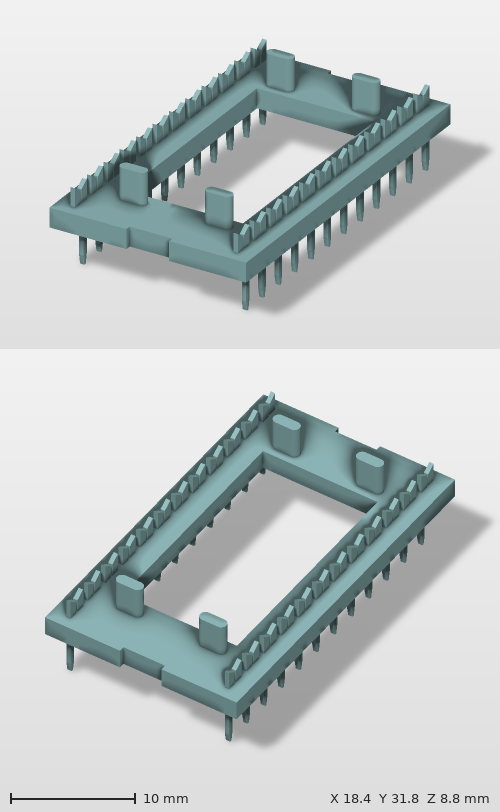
import cadquery as cq

plate_width = 18.4
plate_length = 31.8
plate_thickness = 1.8
window_width = 11.0
window_length = 20.48
end_notch_width = 4.0
end_notch_depth = 0.5

peg_length = 2.5
peg_width = 1.02
peg_height = 3.0
peg_offset_x = 4.0
peg_offset_y = 11.42

contacts_per_row = 12
contact_pitch = 2.55
row_spacing = 15.23
contact_thickness = 0.4
clip_width = 1.8
clip_height = 1.78
clip_slot_width = 0.2
clip_mouth_height = 1.25
pin_width = 0.5
pin_length = 4.0
pin_tip_width = 0.2
pin_tip_length = 0.9


def make_plate():
    """Plate with a central window and a shallow notch in each end."""
    plate = cq.Workplane("XY").box(
        plate_width, plate_length, plate_thickness, centered=(True, True, False)
    )
    plate = plate.translate((0, 0, -plate_thickness))
    window = cq.Workplane("XY").rect(window_width, window_length).extrude(-plate_thickness)
    notches = (
        cq.Workplane("XY")
        .pushPoints([(0, plate_length / 2), (0, -plate_length / 2)])
        .rect(end_notch_width, 2 * end_notch_depth)
        .extrude(-plate_thickness)
    )
    return plate.cut(window).cut(notches)


def make_pegs():
    """Four round-ended pegs standing on the plate."""
    return (
        cq.Workplane("XY")
        .rect(2 * peg_offset_x, 2 * peg_offset_y, forConstruction=True)
        .vertices()
        .slot2D(peg_length, peg_width)
        .extrude(peg_height)
    )


def make_contact():
    """Flat contact centred on the clip; its pin is flush with the clip's +Y edge."""
    clip_edge = clip_width / 2
    slot_edge = clip_slot_width / 2
    pin_inner = clip_edge - pin_width
    pin_center = clip_edge - pin_width / 2
    tip_half = pin_tip_width / 2
    pin_bottom = -plate_thickness - pin_length
    tip_start = pin_bottom + pin_tip_length
    outline = [
        (-clip_edge, -plate_thickness),
        (-clip_edge, clip_height),
        (-slot_edge, clip_mouth_height),
        (-slot_edge, 0),
        (slot_edge, 0),
        (slot_edge, clip_mouth_height),
        (clip_edge, clip_height),
        (clip_edge, tip_start),
        (pin_center + tip_half, pin_bottom),
        (pin_center - tip_half, pin_bottom),
        (pin_inner, tip_start),
        (pin_inner, -plate_thickness),
    ]
    return cq.Workplane("YZ").polyline(outline).close().extrude(contact_thickness / 2, both=True)


def add_contacts(body):
    """Join both rows of contacts to the body, each row centred along Y."""
    contact = make_contact()
    first_y = -(contacts_per_row - 1) * contact_pitch / 2
    for row_x in (-row_spacing / 2, row_spacing / 2):
        for index in range(contacts_per_row):
            body = body.union(contact.translate((row_x, first_y + index * contact_pitch, 0)))
    return body


result = add_contacts(make_plate().union(make_pegs()))